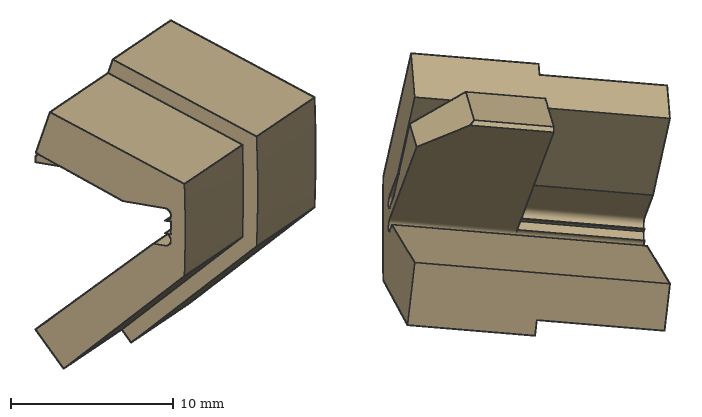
import cadquery as cq
import math

depth = 16.0
rear_depth = depth / 2

core_thickness = 3.0
cover_thickness = 1.0
arm_thickness = core_thickness + cover_thickness
upper_end_tilt = 19.1
lower_end_tilt = 40.7
upper_outer_tip = (5.35, 7.6)
lower_outer_tip = (6.61, -10.76)

back_x = 15.35
cover_top_corner = (15.28, 4.15)
cover_bottom_corner = (15.28, -3.05)
core_top_corner = (14.31, 3.45)
core_bottom_corner = (14.31, -2.59)
back_middle_z = (cover_top_corner[1] + cover_bottom_corner[1]) / 2

blade_root_x = 13.37
blade_root_height = 0.83
blade_bend_x = 11.45
blade_peak_x = 2.98
blade_peak_z = 3.93
blade_tip_height = 0.39
bevel_depth = 3.01
bevel_inset = 2.83

slot_height = 0.8
slot_radius = slot_height / 2
upper_slot_top = blade_root_height + slot_height
upper_slot_mouth_x = 10.07
lower_slot_mouth_x = 12.16
root_overlap = 0.37


def inset_tip(outer_tip, end_tilt, side, distance):
    """Point on the arm end, tilted from vertical; side is +1 for the upper arm and -1 for the lower."""
    angle = math.radians(end_tilt)
    return (
        outer_tip[0] - distance * math.sin(angle),
        outer_tip[1] - side * distance * math.cos(angle),
    )


def bent_body(upper_tip, top_corner, back_middle, bottom_corner, lower_tip, y_front):
    """Both arms and the back wall, from y_front for half the depth toward +Y."""
    slot_end_x = blade_root_x - slot_radius
    upper_slot_middle = blade_root_height + slot_radius
    return (
        cq.Workplane("XZ", origin=(0, y_front, 0))
        .moveTo(*inset_tip(upper_outer_tip, upper_end_tilt, 1, arm_thickness))
        .lineTo(*upper_tip)
        .lineTo(*top_corner)
        .threePointArc(back_middle, bottom_corner)
        .lineTo(*lower_tip)
        .lineTo(*inset_tip(lower_outer_tip, lower_end_tilt, -1, arm_thickness))
        .lineTo(lower_slot_mouth_x, -slot_height)
        .lineTo(slot_end_x, -slot_height)
        .threePointArc((blade_root_x, -slot_radius), (slot_end_x, 0))
        .lineTo(blade_root_x, 0)
        .lineTo(blade_root_x, blade_root_height)
        .lineTo(slot_end_x, blade_root_height)
        .threePointArc((blade_root_x, upper_slot_middle), (slot_end_x, upper_slot_top))
        .lineTo(upper_slot_mouth_x, upper_slot_top)
        .close()
        .extrude(-rear_depth)
    )


def blade():
    """Wedge blade with the rear edge of its sloping nose bevelled."""
    body = (
        cq.Workplane("XZ")
        .polyline([
            (0, 0),
            (0, blade_tip_height),
            (blade_peak_x, blade_peak_z),
            (blade_bend_x, blade_root_height),
            (blade_root_x + root_overlap, blade_root_height),
            (blade_root_x + root_overlap, 0),
        ])
        .close()
        .extrude(-rear_depth)
    )
    nose_rise = blade_peak_z - blade_tip_height
    nose_plane = cq.Plane(
        origin=(blade_peak_x, rear_depth, blade_peak_z),
        xDir=(nose_rise, 0, -blade_peak_x),
        normal=(-blade_peak_x, 0, -nose_rise),
    )
    bevel = (
        cq.Workplane(nose_plane)
        .polyline([
            (-bevel_inset, 2 * bevel_depth),
            (2 * bevel_inset, -bevel_depth),
            (-bevel_inset, -bevel_depth),
        ])
        .close()
        .extrude(2 * blade_peak_z, both=True)
    )
    return body.cut(bevel)


core_half = bent_body(
    inset_tip(upper_outer_tip, upper_end_tilt, 1, cover_thickness),
    core_top_corner,
    (back_x - cover_thickness, back_middle_z),
    core_bottom_corner,
    inset_tip(lower_outer_tip, lower_end_tilt, -1, cover_thickness),
    -rear_depth,
)
covered_half = bent_body(
    upper_outer_tip,
    cover_top_corner,
    (back_x, back_middle_z),
    cover_bottom_corner,
    lower_outer_tip,
    0,
)
result = core_half.union(covered_half).union(blade())